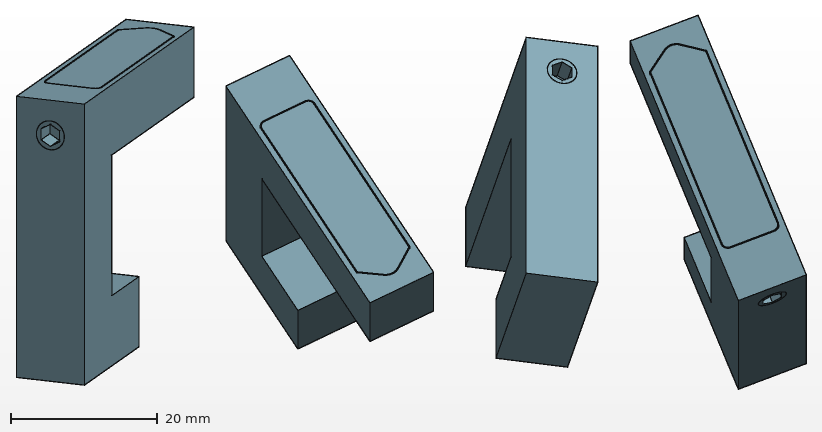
import cadquery as cq
import math

SIZE = 40.0
BAR = 10.0
FOOT_LENGTH = 20.0
BACK_Y = -SIZE / 2
TOP_Z = SIZE

RECESS_WIDTH = 8.4
RECESS_START_Y = BACK_Y + 7.4
RECESS_SHOULDER_Y = -BACK_Y - 5.1
RECESS_TIP_Y = -BACK_Y - 2.1
CORNER_RADIUS = 1.0
TIP_RADIUS = 2.0
RECESS_DEPTH = 2.0
PAD_GAP = 0.15

SCREW_DIAMETER = 4.1
HOLE_DIAMETER = 4.1
SCREW_LENGTH = 6.0
SCREW_Z = TOP_Z - BAR / 2
SOCKET_ACROSS_FLATS = 2.7
SOCKET_DEPTH = 3.2


def make_recess_volume():
    """Pointed block with rounded tip and rounded back corners, open at the top face."""
    half_width = RECESS_WIDTH / 2
    outline = [
        (-half_width, RECESS_START_Y),
        (half_width, RECESS_START_Y),
        (half_width, RECESS_SHOULDER_Y),
        (0, RECESS_TIP_Y),
        (-half_width, RECESS_SHOULDER_Y),
    ]
    block = (
        cq.Workplane("XY", origin=(0, 0, TOP_Z - RECESS_DEPTH))
        .polyline(outline)
        .close()
        .extrude(RECESS_DEPTH)
    )
    block = block.edges("|Z and <Y").fillet(CORNER_RADIUS)
    return block.edges("|Z and >Y").fillet(TIP_RADIUS)


def make_screw_blank(diameter):
    """Cylinder running inward (+Y) from the back face."""
    return (
        cq.Workplane("XZ", origin=(0, BACK_Y, SCREW_Z))
        .circle(diameter / 2)
        .extrude(-SCREW_LENGTH)
    )


def make_frame():
    outline = [
        (BACK_Y, 0),
        (BACK_Y + FOOT_LENGTH, 0),
        (BACK_Y + FOOT_LENGTH, BAR),
        (BACK_Y + BAR, BAR),
        (BACK_Y + BAR, TOP_Z - BAR),
        (BACK_Y + SIZE, TOP_Z - BAR),
        (BACK_Y + SIZE, TOP_Z),
        (BACK_Y, TOP_Z),
    ]
    body = cq.Workplane("YZ").polyline(outline).close().extrude(BAR / 2, both=True)
    return body.cut(make_recess_volume()).cut(make_screw_blank(HOLE_DIAMETER))


def make_pad():
    """Recess volume shrunk sideways by the gap; it rests on the recess floor."""
    outline = make_recess_volume().faces(">Z").wires().val()
    inner = outline.offset2D(-PAD_GAP)[0]
    return cq.Workplane(inner).toPending().extrude(-RECESS_DEPTH)


def make_set_screw():
    """Headless screw with a hexagon socket whose corners point up and down."""
    corner_diameter = SOCKET_ACROSS_FLATS / math.cos(math.radians(30))
    socket = (
        cq.Workplane("XZ", origin=(0, BACK_Y, SCREW_Z))
        .transformed(rotate=(0, 0, 90))
        .polygon(6, corner_diameter)
        .extrude(-SOCKET_DEPTH)
    )
    return make_screw_blank(SCREW_DIAMETER).cut(socket)


frame = make_frame()
pad = make_pad()
set_screw = make_set_screw()
result = cq.Compound.makeCompound([frame.val(), pad.val(), set_screw.val()])